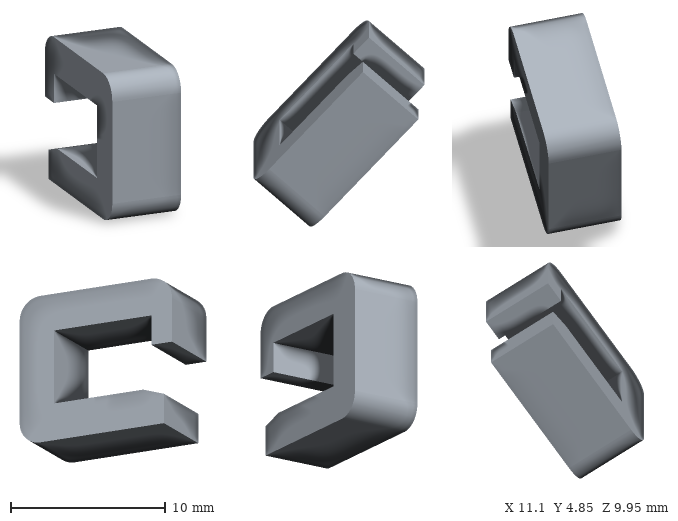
import cadquery as cq

length = 11.1
depth = 4.85
height = 9.95

wall = 2.5
corner_radius = 1.5
lip_width = 1.5
lip_height = 4.5
bottom_arm_setback = 0.59
ramp_run = 1.5
ramp_drop = 0.5

back_inner_x = length - wall
top_arm_underside = height - wall
lip_end = height - lip_height

profile = (
    cq.Workplane("XZ")
    .moveTo(bottom_arm_setback, 0)
    .lineTo(length, 0)
    .lineTo(length, height)
    .lineTo(0, height)
    .lineTo(0, lip_end)
    .lineTo(lip_width, lip_end)
    .lineTo(lip_width, top_arm_underside)
    .lineTo(back_inner_x, top_arm_underside)
    .lineTo(back_inner_x, wall)
    .lineTo(bottom_arm_setback + ramp_run, wall)
    .lineTo(bottom_arm_setback, wall - ramp_drop)
    .close()
)
clip = profile.extrude(-depth)

clip = clip.edges("|Y and >X").fillet(corner_radius)
result = clip.edges("|Y and >Z and <X").fillet(corner_radius)